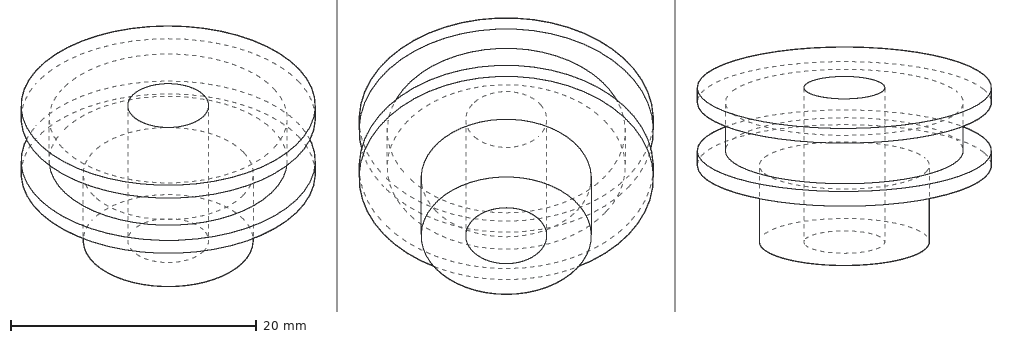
import cadquery as cq

total_height = 13.1
flange_diameter = 24.0
flange_thickness = 1.25
groove_diameter = 19.42
groove_width = 4.1
hub_diameter = 13.87
bore_diameter = 6.6

hub_height = total_height - 2 * flange_thickness - groove_width


def add_disc(body, diameter, thickness):
    """Stack a coaxial disc on the top face of the body."""
    return body.faces(">Z").workplane().circle(diameter / 2).extrude(thickness)


pulley = cq.Workplane("XY").circle(hub_diameter / 2).extrude(hub_height)
pulley = add_disc(pulley, flange_diameter, flange_thickness)
pulley = add_disc(pulley, groove_diameter, groove_width)
pulley = add_disc(pulley, flange_diameter, flange_thickness)

result = pulley.faces(">Z").workplane().hole(bore_diameter)